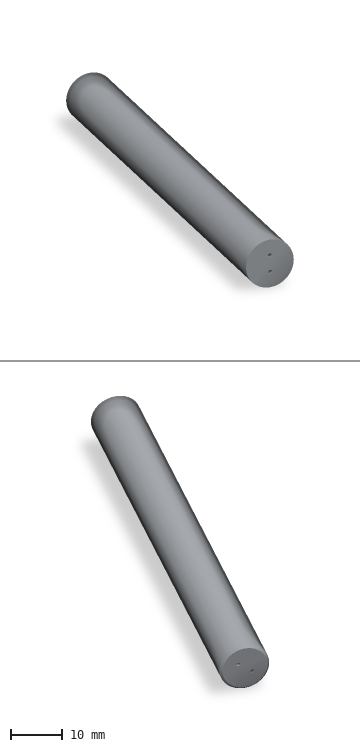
import cadquery as cq
import math

rod_diameter = 10.0
rod_length = 90.0
end_chamfer = 0.5
hole_diameter = 0.75
hole_circle_diameter = 3.5
hole_start_angle = 36.0
hole_count = 2
helix_angle = 30.0

helix_lead = math.pi * rod_diameter / math.tan(math.radians(helix_angle))
hole_twist = 360.0 * rod_length / helix_lead


def make_rod():
    """Round rod along X, centred on the axis, with its -X end chamfered."""
    rod = cq.Workplane("YZ").circle(rod_diameter / 2).extrude(rod_length)
    return rod.faces("<X").chamfer(end_chamfer)


def make_coolant_hole(start_angle):
    """Right-handed helical hole running the full length of the rod."""
    angle = math.radians(start_angle)
    y = hole_circle_diameter / 2 * math.cos(angle)
    z = hole_circle_diameter / 2 * math.sin(angle)
    profile = cq.Workplane("YZ").moveTo(y, z).circle(hole_diameter / 2)
    return profile.twistExtrude(rod_length, hole_twist)


result = make_rod()
for index in range(hole_count):
    result = result.cut(make_coolant_hole(hole_start_angle + index * 360.0 / hole_count))